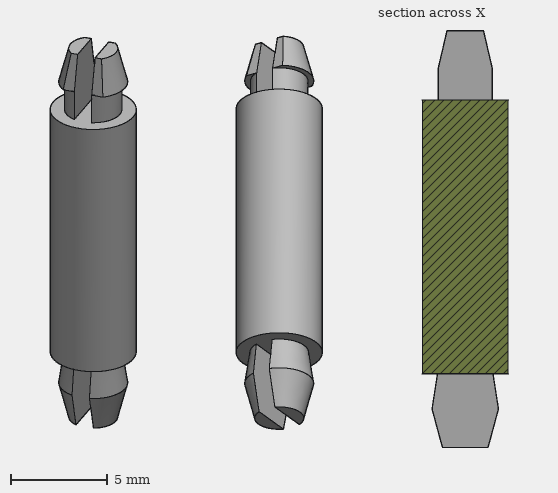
import cadquery as cq

body_diameter = 4.5
body_length = 14.25

slot_width = 0.98

barb_diameter = 3.6
tip_diameter = 2.55

neck_diameter = 3.0
neck_length = 1.63
head_length = 1.97
head_tip_depth = 1.9

lower_root_diameter = 3.05
lower_flare_length = 1.82
total_length = 21.7
lower_tip_length = total_length - body_length - neck_length - head_length - lower_flare_length

barb_z = body_length + neck_length
top_z = barb_z + head_length
lower_barb_z = -lower_flare_length
bottom_z = lower_barb_z - lower_tip_length

neck_radius = neck_diameter / 2
head_base_depth = 2 * (neck_radius**2 - (slot_width / 2) ** 2) ** 0.5


def cone(start_z, start_diameter, end_z, end_diameter):
    """Frustum along Z between two heights."""
    profile = [
        (0, start_z),
        (start_diameter / 2, start_z),
        (end_diameter / 2, end_z),
        (0, end_z),
    ]
    return cq.Workplane("XZ").polyline(profile).close().revolve(360, (0, 0), (0, 1))


def slotted(snap_end):
    """Split a snap end into two prongs with a slot running along Y."""
    slot = cq.Workplane("XY").box(slot_width, body_diameter, 2 * total_length)
    return snap_end.cut(slot)


def upper_snap():
    neck = cq.Workplane("XY").workplane(offset=body_length).circle(neck_radius).extrude(neck_length)
    flats = (
        cq.Workplane("YZ")
        .polyline([
            (-head_base_depth / 2, barb_z),
            (head_base_depth / 2, barb_z),
            (head_tip_depth / 2, top_z),
            (-head_tip_depth / 2, top_z),
        ])
        .close()
        .extrude(barb_diameter / 2, both=True)
    )
    head = cone(barb_z, barb_diameter, top_z, tip_diameter).intersect(flats)
    return slotted(neck.union(head))


def lower_snap():
    flare = cone(0, lower_root_diameter, lower_barb_z, barb_diameter)
    tip = cone(lower_barb_z, barb_diameter, bottom_z, tip_diameter)
    return slotted(flare.union(tip))


body = cq.Workplane("XY").circle(body_diameter / 2).extrude(body_length)
result = body.union(upper_snap()).union(lower_snap())